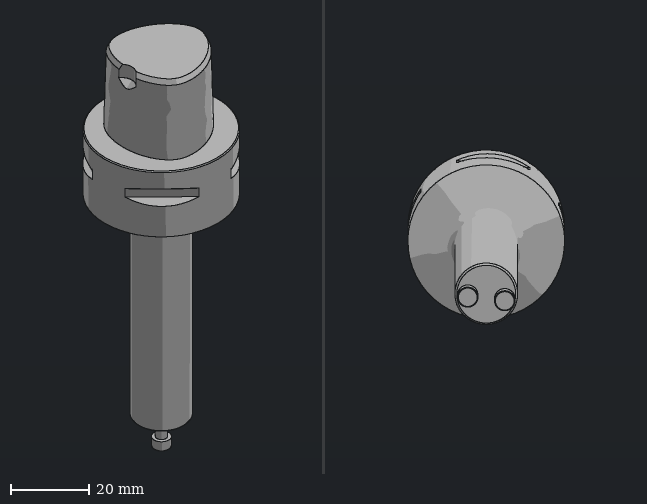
import cadquery as cq
import math

total_length = 118.35

stub_height = 24.0
polygon_diameter = 28.0
polygon_eccentricity = 0.9
taper_per_side = 1 / 40
rim_chamfer_height = 1.5
rim_chamfer_inset = 0.75
curve_samples = 60

notch_radius = 3.8
notch_axis_y = -14.62
notch_depth = 4.05
notch_tip_height = notch_radius

collar_radius = 20.0
collar_height = 20.0
collar_chamfer = 0.3
groove_count = 4
groove_first_angle = 45.0
groove_center_z = -8.0
groove_depth = 2.35
groove_floor_width = 2.6
groove_flank_angle = 30.0

shank_radius = 8.0
shank_end_z = -88.0
shank_end_chamfer = 0.5
cone_angle = 15.0
neck_fillet = 2.6

screw_offset = 3.35
screw_stem_radius = 3.17 / 2
screw_head_radius = 5.2 / 2
screw_head_height = 3.0
screw_head_chamfer = 0.2
screw_end_z = stub_height - total_length


def polygon_section(z, inset):
    """Closed wire of the three-lobed curve at height z, moved inward by inset; one lobe points to +Y."""
    mean_radius = polygon_diameter / 2 - inset
    e = polygon_eccentricity

    def point(a):
        along_lobe = mean_radius * math.cos(a) + e * (2 * math.cos(2 * a) - math.cos(4 * a))
        across_lobe = mean_radius * math.sin(a) - e * (2 * math.sin(2 * a) + math.sin(4 * a))
        return (-across_lobe, along_lobe, z)

    points = [cq.Vector(*point(2 * math.pi * i / curve_samples)) for i in range(curve_samples)]
    edge = cq.Edge.makeSpline(points, periodic=True)
    return cq.Wire.assembleEdges([edge])


def make_stub():
    rim_z = stub_height - rim_chamfer_height
    rim_inset = rim_z * taper_per_side
    base = polygon_section(0, 0)
    rim = polygon_section(rim_z, rim_inset)
    top = polygon_section(stub_height, rim_inset + rim_chamfer_inset)
    flank = cq.Solid.makeLoft([base, rim], True)
    chamfer = cq.Solid.makeLoft([rim, top], True)
    return cq.Workplane(flank).union(cq.Workplane(chamfer))


def make_notch():
    floor_z = stub_height - notch_depth
    profile = (
        cq.Workplane("XZ", origin=(0, notch_axis_y, 0))
        .moveTo(0, floor_z - notch_tip_height)
        .lineTo(notch_radius, floor_z)
        .lineTo(notch_radius, stub_height)
        .lineTo(0, stub_height)
        .close()
    )
    return profile.revolve(360, (0, 0, 0), (0, 1, 0))


def make_turned_body():
    """Collar, cone, fillet and shank as one revolved profile."""
    cone = math.radians(cone_angle)
    cone_foot_z = -collar_height - (collar_radius - shank_radius) * math.tan(cone)
    turn = math.pi / 2 - cone
    tangent_length = neck_fillet * math.tan(turn / 2)
    fillet_center = (shank_radius + neck_fillet, cone_foot_z - tangent_length)
    mid_angle = math.pi - turn / 2
    fillet_start = (
        shank_radius + tangent_length * math.cos(cone),
        cone_foot_z + tangent_length * math.sin(cone),
    )
    fillet_middle = (
        fillet_center[0] + neck_fillet * math.cos(mid_angle),
        fillet_center[1] + neck_fillet * math.sin(mid_angle),
    )
    return (
        cq.Workplane("XZ")
        .lineTo(collar_radius - collar_chamfer, 0)
        .lineTo(collar_radius, -collar_chamfer)
        .lineTo(collar_radius, -collar_height)
        .lineTo(*fillet_start)
        .threePointArc(fillet_middle, (shank_radius, fillet_center[1]))
        .lineTo(shank_radius, shank_end_z + shank_end_chamfer)
        .lineTo(shank_radius - shank_end_chamfer, shank_end_z)
        .lineTo(0, shank_end_z)
        .close()
        .revolve(360, (0, 0, 0), (0, 1, 0))
    )


def make_groove(angle):
    """Straight groove across the collar rim, with a flat floor and sloping flanks."""
    floor_half = groove_floor_width / 2
    mouth_half = floor_half + groove_depth * math.tan(math.radians(groove_flank_angle))
    floor_x = collar_radius - groove_depth
    return (
        cq.Workplane("XZ")
        .moveTo(floor_x, groove_center_z - floor_half)
        .lineTo(collar_radius, groove_center_z - mouth_half)
        .lineTo(collar_radius, groove_center_z + mouth_half)
        .lineTo(floor_x, groove_center_z + floor_half)
        .close()
        .extrude(collar_radius, both=True)
        .rotate((0, 0, 0), (0, 0, 1), angle)
    )


def make_screw(x, y):
    head_top_z = screw_end_z + screw_head_height
    head = cq.Workplane(origin=(x, y, screw_end_z)).circle(screw_head_radius).extrude(screw_head_height)
    head = head.faces("<Z").chamfer(screw_head_chamfer)
    stem = cq.Workplane(origin=(x, y, head_top_z)).circle(screw_stem_radius).extrude(shank_end_z - head_top_z)
    return head.union(stem)


body = make_turned_body().union(make_stub().cut(make_notch()))

for index in range(groove_count):
    body = body.cut(make_groove(groove_first_angle + index * 360 / groove_count))

for side in (1, -1):
    body = body.union(make_screw(side * screw_offset, -side * screw_offset))

result = body